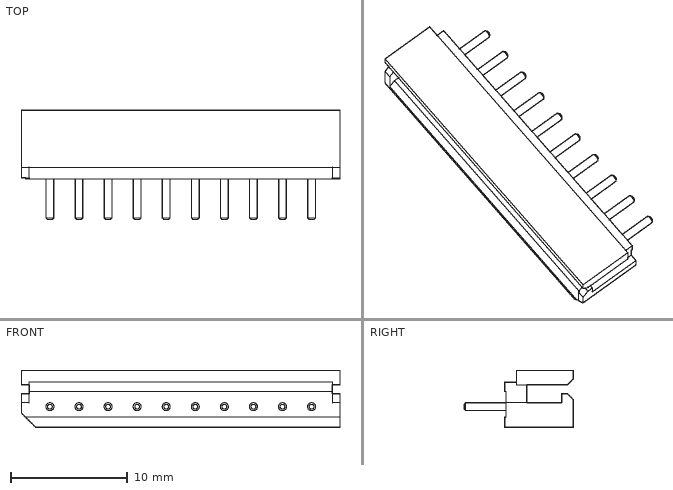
import cadquery as cq

length = 27.4
height = 4.9
depth = 5.92
roof_thickness = 1.25
roof_depth = 4.9
floor_thickness = 0.9
mouth_chamfer = 0.52
corner_chamfer = 1.23

wall_thickness = 1.92
wall_height = 3.9
recess_depth = 0.1
recess_bottom = 0.88
recess_top = 3.07

end_wall_thickness = 0.65
sill_height = 2.15
post_height = 2.9
post_depth = 1.01

pin_count = 10
pin_span = 22.5
pin_height = 1.78
pin_diameter = 0.68
pin_length = 3.48
pin_tip_chamfer = 0.15

front_y = -depth
wall_back_y = front_y + wall_thickness
recess_y = front_y + recess_depth
roof_bottom = height - roof_thickness
half_length = length / 2
inner_half_length = half_length - end_wall_thickness
pin_pitch = pin_span / (pin_count - 1)


def extrude_along_x(points, start_x, end_x):
    """Extrude a closed outline of (Y, Z) points between two X positions."""
    outline = cq.Workplane("YZ", origin=(start_x, 0, 0)).polyline(points).close()
    return outline.extrude(end_x - start_x)


def make_roof():
    points = [
        (-roof_depth, roof_bottom),
        (-mouth_chamfer, roof_bottom),
        (0, roof_bottom + mouth_chamfer),
        (0, height),
        (-roof_depth, height),
    ]
    return extrude_along_x(points, -half_length, half_length)


def make_floor_and_wall():
    """L-shaped section between the end walls, open toward the mating side."""
    points = [
        (front_y, 0),
        (0, 0),
        (0, floor_thickness - mouth_chamfer),
        (-mouth_chamfer, floor_thickness),
        (wall_back_y, floor_thickness),
        (wall_back_y, wall_height),
        (front_y, wall_height),
    ]
    return extrude_along_x(points, -inner_half_length, inner_half_length)


def make_end_wall(start_x):
    points = [
        (front_y, 0),
        (0, 0),
        (0, post_height - mouth_chamfer),
        (-mouth_chamfer, post_height),
        (-post_depth, post_height),
        (-post_depth, sill_height),
        (front_y, sill_height),
    ]
    return extrude_along_x(points, start_x, start_x + end_wall_thickness)


def make_front_recess():
    """Shallow band across the full length of the front face."""
    points = [
        (front_y, recess_bottom),
        (recess_y, recess_bottom),
        (recess_y, recess_top),
        (front_y, recess_top),
    ]
    return extrude_along_x(points, -half_length, half_length)


def make_corner_cut():
    """Wedge that bevels the lower -X edge over the whole depth."""
    points = [
        (-half_length, 0),
        (-half_length + corner_chamfer, 0),
        (-half_length, corner_chamfer),
    ]
    return cq.Workplane("XZ").polyline(points).close().extrude(depth)


def make_pin(x):
    """Round pin rooted in the front wall, with a bevelled tip."""
    root_y = (recess_y + wall_back_y) / 2
    pin = cq.Workplane("XZ", origin=(x, root_y, pin_height)).circle(pin_diameter / 2)
    pin = pin.extrude(root_y - front_y + pin_length)
    return pin.faces("<Y").chamfer(pin_tip_chamfer)


result = make_floor_and_wall().union(make_roof())
for end_wall_x in (-half_length, inner_half_length):
    result = result.union(make_end_wall(end_wall_x))

result = result.cut(make_front_recess()).cut(make_corner_cut())

for index in range(pin_count):
    result = result.union(make_pin(-pin_span / 2 + index * pin_pitch))